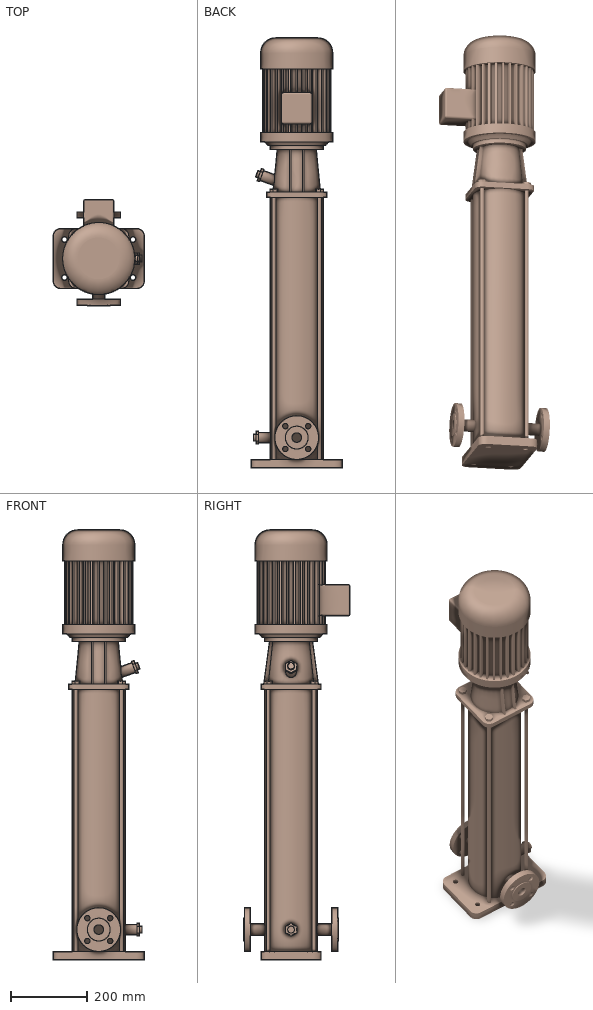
import cadquery as cq
import math

BASE_LENGTH = 240.0
BASE_WIDTH = 158.0
BASE_THICKNESS = 22.0
PLATE_CORNER_RADIUS = 20.0
FOOT_HOLE_DIAMETER = 14.0
FOOT_HOLE_SPACING_X = 180.0
FOOT_HOLE_SPACING_Y = 100.0

SLEEVE_DIAMETER = 140.0
STAY_BOLT_DIAMETER = 10.0
STAY_BOLT_SPACING = 120.0
HEAD_PLATE_SIZE = BASE_WIDTH
HEAD_PLATE_BOTTOM = 712.0
HEAD_PLATE_THICKNESS = 14.0
HEAD_PLATE_TOP = HEAD_PLATE_BOTTOM + HEAD_PLATE_THICKNESS
HEX_SIDES = 6
NUT_ACROSS_FLATS = 19.0
NUT_HEIGHT = 8.0
FIRST_CORNER_ANGLE = 45.0
CORNER_COUNT = 4

PORT_DISTANCE = 250.0
PORT_BORE = 25.0
PORT_PIPE_DIAMETER = 32.0
FLANGE_DIAMETER = 115.0
FLANGE_THICKNESS = 16.0
RAISED_FACE_DIAMETER = 60.0
RAISED_FACE_HEIGHT = 2.0
FLANGE_HOLE_DIAMETER = 14.0
FLANGE_BOLT_CIRCLE = 85.0
FLANGE_HOLE_COUNT = 4
FLANGE_FIRST_HOLE_ANGLE = 45.0
PORT_ANGLES = (0, 180)
PORT_HEIGHT = 80.0

PLUG_BODY_DIAMETER = 28.0
PLUG_HEX_ACROSS_FLATS = 30.0
PLUG_HEX_THICKNESS = 7.0
PLUG_TIP_DIAMETER = 18.0
PLUG_TIP_LENGTH = 7.0
DRAIN_BODY_END = 100.0
VENT_BODY_END = 98.0
VENT_AXIS_HEIGHT = 736.0
VENT_TILT = 20.0

LANTERN_BOTTOM_DIAMETER = 126.0
LANTERN_TOP_DIAMETER = 104.0
LANTERN_TOP = 837.5
LANTERN_RIB_THICKNESS = 5.0
LANTERN_RIB_SPACING = 34.0
LANTERN_RIB_BOTTOM_REACH = 72.0
LANTERN_RIB_TOP_REACH = 57.0

MOTOR_FLANGE_DIAMETER = 140.0
MOTOR_FLANGE_TOP = 848.0
SHIELD_CONE_TOP_DIAMETER = 168.0
SHIELD_CONE_BOTTOM_DIAMETER = 150.0
SHIELD_CONE_TOP = 858.0
MOTOR_DIAMETER = 190.0
SHIELD_TOP = 883.0
COWL_BOTTOM = 1050.0
MOTOR_TOP = 1132.0
COWL_ROUNDING = 40.0
FIN_TIP_DIAMETER = 180.0
FIN_ROOT_DIAMETER = 150.0
FIN_THICKNESS = 5.0
FIN_COUNT = 30
FIN_PITCH_ANGLE = 360.0 / FIN_COUNT

BOX_WIDTH = 80.0
BOX_HEIGHT = 82.0
BOX_CENTRE_HEIGHT = 946.5
BOX_REACH = 155.0
BOX_ROUNDING = 5.0


def disc(diameter, bottom, top):
    """Upright cylinder on the pump axis."""
    return cq.Workplane("XY").workplane(offset=bottom).circle(diameter / 2).extrude(top - bottom)


def cone(bottom_diameter, top_diameter, bottom, top):
    """Upright truncated cone on the pump axis."""
    return cq.Workplane("XY").add(
        cq.Solid.makeCone(
            bottom_diameter / 2,
            top_diameter / 2,
            top - bottom,
            pnt=cq.Vector(0, 0, bottom),
        )
    )


def rounded_plate(length, width, bottom, thickness):
    """Flat plate with rounded vertical corners."""
    plate = cq.Workplane("XY").workplane(offset=bottom).rect(length, width).extrude(thickness)
    return plate.edges("|Z").fillet(PLATE_CORNER_RADIUS)


def base_plate():
    plate = rounded_plate(BASE_LENGTH, BASE_WIDTH, 0, BASE_THICKNESS)
    return (
        plate.faces(">Z")
        .workplane()
        .rect(FOOT_HOLE_SPACING_X, FOOT_HOLE_SPACING_Y, forConstruction=True)
        .vertices()
        .hole(FOOT_HOLE_DIAMETER)
    )


def stay_bolts():
    """Four rods between base and head plate, each with a hexagon nut on top, one corner outwards."""
    rod = cq.Workplane("XY").workplane(offset=BASE_THICKNESS).circle(STAY_BOLT_DIAMETER / 2)
    nut = cq.Workplane("XY").workplane(offset=HEAD_PLATE_TOP)
    bolt = rod.extrude(HEAD_PLATE_TOP - BASE_THICKNESS).union(
        nut.polygon(HEX_SIDES, NUT_ACROSS_FLATS, circumscribed=True).extrude(NUT_HEIGHT)
    )
    reach = math.hypot(STAY_BOLT_SPACING, STAY_BOLT_SPACING) / 2
    bolts = cq.Workplane("XY")
    for corner in range(CORNER_COUNT):
        angle = FIRST_CORNER_ANGLE + corner * 360 / CORNER_COUNT
        bolts = bolts.add(bolt.translate((reach, 0, 0)).rotate((0, 0, 0), (0, 0, 1), angle))
    return bolts.combine()


def port():
    """Flanged pipe stub on -Y, starting at the pump axis."""
    face = PORT_DISTANCE / 2
    flange_front = face - RAISED_FACE_HEIGHT
    axis = cq.Workplane("XZ", origin=(0, 0, PORT_HEIGHT))
    pipe = axis.circle(PORT_PIPE_DIAMETER / 2).extrude(face)
    flange = (
        axis.workplane(offset=flange_front - FLANGE_THICKNESS)
        .circle(FLANGE_DIAMETER / 2)
        .extrude(FLANGE_THICKNESS)
        .faces("<Y")
        .workplane(origin=(0, 0, PORT_HEIGHT))
        .polarArray(FLANGE_BOLT_CIRCLE / 2, FLANGE_FIRST_HOLE_ANGLE, 360, FLANGE_HOLE_COUNT)
        .hole(FLANGE_HOLE_DIAMETER)
    )
    raised_face = (
        axis.workplane(offset=flange_front)
        .circle(RAISED_FACE_DIAMETER / 2)
        .extrude(RAISED_FACE_HEIGHT)
    )
    return pipe.union(flange).union(raised_face)


def port_bore():
    """Bore of the -Y port, ending at the sleeve surface."""
    depth = (PORT_DISTANCE - SLEEVE_DIAMETER) / 2
    return (
        cq.Workplane("XZ", origin=(0, -SLEEVE_DIAMETER / 2, PORT_HEIGHT))
        .circle(PORT_BORE / 2)
        .extrude(depth)
    )


def plug(body_end):
    """Plug along +X from the origin: round body, hexagon and round tip."""
    hexagon_end = body_end + PLUG_HEX_THICKNESS
    axis = cq.Workplane("YZ")
    body = axis.circle(PLUG_BODY_DIAMETER / 2).extrude(body_end)
    hexagon = (
        axis.workplane(offset=body_end)
        .polygon(HEX_SIDES, PLUG_HEX_ACROSS_FLATS, circumscribed=True)
        .extrude(PLUG_HEX_THICKNESS)
    )
    tip = axis.workplane(offset=hexagon_end).circle(PLUG_TIP_DIAMETER / 2).extrude(PLUG_TIP_LENGTH)
    return body.union(hexagon).union(tip)


def drain_plug():
    return plug(DRAIN_BODY_END).translate((0, 0, PORT_HEIGHT))


def vent_plug():
    """Plug leaning upwards out of the lantern, cut off at the head plate top."""
    tilted = plug(VENT_BODY_END).rotate((0, 0, 0), (0, 1, 0), -VENT_TILT)
    raised = tilted.translate((0, 0, VENT_AXIS_HEIGHT))
    return raised.intersect(disc(BASE_LENGTH, HEAD_PLATE_TOP, LANTERN_TOP))


def lantern():
    """Tapered lantern with a pair of upright ribs on -Y and on +Y."""
    body = cone(LANTERN_BOTTOM_DIAMETER, LANTERN_TOP_DIAMETER, HEAD_PLATE_TOP, LANTERN_TOP)
    rib_outline = [
        (-LANTERN_RIB_BOTTOM_REACH, HEAD_PLATE_TOP),
        (LANTERN_RIB_BOTTOM_REACH, HEAD_PLATE_TOP),
        (LANTERN_RIB_TOP_REACH, LANTERN_TOP),
        (-LANTERN_RIB_TOP_REACH, LANTERN_TOP),
    ]
    rib = (
        cq.Workplane("YZ")
        .polyline(rib_outline)
        .close()
        .extrude(LANTERN_RIB_THICKNESS / 2, both=True)
    )
    for side in (-1, 1):
        body = body.union(rib.translate((side * LANTERN_RIB_SPACING / 2, 0, 0)))
    return body


def finned_stator():
    """Stator core with evenly spaced radial cooling fins."""
    stator = disc(FIN_ROOT_DIAMETER, SHIELD_TOP, COWL_BOTTOM)
    height = COWL_BOTTOM - SHIELD_TOP
    blades = (
        cq.Workplane("XY")
        .workplane(offset=SHIELD_TOP)
        .polarArray(FIN_TIP_DIAMETER / 4, FIN_PITCH_ANGLE / 2, 360, FIN_COUNT)
        .rect(FIN_TIP_DIAMETER / 2, FIN_THICKNESS)
        .extrude(height)
    )
    return stator.union(blades)


def motor():
    flange = disc(MOTOR_FLANGE_DIAMETER, LANTERN_TOP, MOTOR_FLANGE_TOP)
    shield_cone = cone(
        SHIELD_CONE_BOTTOM_DIAMETER,
        SHIELD_CONE_TOP_DIAMETER,
        MOTOR_FLANGE_TOP,
        SHIELD_CONE_TOP,
    )
    shield = disc(MOTOR_DIAMETER, SHIELD_CONE_TOP, SHIELD_TOP)
    cowl = disc(MOTOR_DIAMETER, COWL_BOTTOM, MOTOR_TOP).faces(">Z").edges().fillet(COWL_ROUNDING)
    return flange.union(shield_cone).union(shield).union(finned_stator()).union(cowl)


def terminal_box():
    """Box on the +Y side of the motor, rounded on all edges away from the motor."""
    box = (
        cq.Workplane("XZ", origin=(0, BOX_REACH, BOX_CENTRE_HEIGHT))
        .rect(BOX_WIDTH, BOX_HEIGHT)
        .extrude(BOX_REACH)
    )
    return box.edges("|Y or >Y").fillet(BOX_ROUNDING)


result = (
    base_plate()
    .union(disc(SLEEVE_DIAMETER, BASE_THICKNESS, HEAD_PLATE_BOTTOM))
    .union(rounded_plate(HEAD_PLATE_SIZE, HEAD_PLATE_SIZE, HEAD_PLATE_BOTTOM, HEAD_PLATE_THICKNESS))
    .union(stay_bolts())
    .union(lantern())
    .union(motor())
    .union(terminal_box())
    .union(drain_plug())
    .union(vent_plug())
)
for angle in PORT_ANGLES:
    result = result.union(port().rotate((0, 0, 0), (0, 0, 1), angle))
for angle in PORT_ANGLES:
    result = result.cut(port_bore().rotate((0, 0, 0), (0, 0, 1), angle))